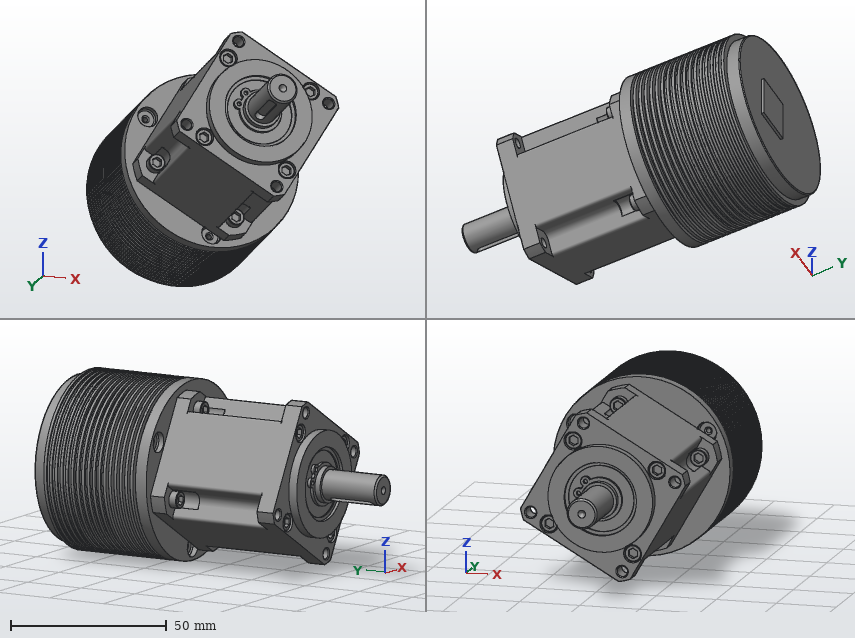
import cadquery as cq
import math


PLATE_LENGTH = 5.2
BODY_LENGTH = 34.9
FLANGE_LENGTH = 6.0
BOSS_LENGTH = 3.0
SHAFT_LENGTH = 22.0
COLLAR_LENGTH = 2.0

BODY_START = PLATE_LENGTH
FLANGE_START = BODY_START + BODY_LENGTH
FLANGE_FACE = FLANGE_START + FLANGE_LENGTH
BOSS_FACE = FLANGE_FACE + BOSS_LENGTH
COLLAR_END = BOSS_FACE + COLLAR_LENGTH
SHAFT_TIP = BOSS_FACE + SHAFT_LENGTH

SQUARE_SIDE = 42.2
SQUARE_TILT = 60
CORNER_ANGLE = 45 + SQUARE_TILT
FLANGE_CORNER_RADIUS = 28.0
PLATE_CORNER_RADIUS = 27.1
NOTCH_OFFSET = 13.0
NOTCH_INNER_FILLET = 2.8
NOTCH_EDGE_FILLET = 1.0

SCREW_HEAD_RADIUS = 2.8
SCREW_HEAD_CHAMFER = 0.2
SOCKET_FLATS = 3.0
SOCKET_DEPTH = 1.5
CLEARANCE_RADIUS = 3.1
PLATE_SCREW_CIRCLE = 21.9
PLATE_SCREW_HEAD_LENGTH = 2.8
PLATE_SCREW_CLEARANCE_LENGTH = 8.4
FLANGE_SCREW_CIRCLE = 20.5
FLANGE_SCREW_ANGLE = 28.9
FLANGE_POCKET_RADIUS = 3.0
FLANGE_SCREW_SINK = 0.5
FLANGE_POCKET_DEPTH = 3.2
MOUNTING_CIRCLE = 24.9
MOUNTING_HOLE_RADIUS = 1.7
MOUNTING_HOLE_CHAMFER = 0.3

BOSS_RADIUS = 17.5
RECESS_RADIUS = 12.0
RECESS_DEPTH = 1.0
BORE_RADIUS = 10.9
BORE_DEPTH = 1.5
COLLAR_RADIUS = 6.0
SHAFT_DIAMETER = 10.0
SHAFT_RADIUS = SHAFT_DIAMETER / 2
SHAFT_CHAMFER = 0.6
CENTRE_CONE_RADIUS = 1.3
CENTRE_CONE_DEPTH = 1.3
KEYWAY_WIDTH = 3.0
KEYWAY_LENGTH = 16.0
KEYWAY_DEPTH = 1.8
KEYWAY_TIP_GAP = 2.1
KEYWAY_ANGLE = 240

RING_RADIUS = 7.1
RING_THICKNESS = 1.0
LUG_CIRCLE = 7.5
LUG_RADIUS = 1.6
LUG_HOLE_RADIUS = 0.7
LUG_GAP_ANGLE = 150
LUG_HALF_SPREAD = 18

MOTOR_RADIUS = 29.5
DISC_LENGTH = 4.0
FIN_STACK_LENGTH = 34.1
CAP_LENGTH = 4.7
CAP_RADIUS = 27.4
CAP_CHAMFER = 0.3
GROOVE_GROUPS = [(6, 27.8), (6, 28.7), (5, 29.0)]
MOTOR_HOLE_CIRCLE = 25.0
MOTOR_HOLE_ANGLES = [30, 150, 270]
MOTOR_HOLE_RADIUS = 3.3
MOTOR_HOLE_DEPTH = 2.3
MOTOR_HOLE_CHAMFER = 0.5
PILOT_RADIUS = 0.8
PILOT_MOUTH_RADIUS = 1.3
PILOT_MOUTH_DEPTH = 0.5
PILOT_DEPTH = 4.6
PAD_WIDTH = 12.9
PAD_HEIGHT = 16.2
PAD_THICKNESS = 0.9
PAD_CENTRE = (6.3, -3.6)


def section(start):
    """Workplane across the axis, facing forward, `start` ahead of the joint."""
    return cq.Workplane("XZ", origin=(0, -start, 0))


def cylinder(radius, start, length, centre=(0, 0)):
    return section(start).center(*centre).circle(radius).extrude(length)


def cone(start_radius, end_radius, start, length, centre):
    circle = section(start).center(*centre).circle(start_radius)
    return circle.workplane(offset=length).circle(end_radius).loft()


def polar(radius, angle):
    turn = math.radians(angle)
    return (radius * math.cos(turn), radius * math.sin(turn))


def tilt_square(shape):
    """Turn from the X and Z directions to the tilt of the gearbox square."""
    return shape.rotate((0, 0, 0), (0, 1, 0), -SQUARE_TILT)


def four_places(radius, first_angle):
    return [polar(radius, first_angle + 90 * i) for i in range(4)]


def square_plate(corner_radius, start, length):
    square = tilt_square(section(start).rect(SQUARE_SIDE, SQUARE_SIDE).extrude(length))
    return square.intersect(cylinder(corner_radius, start, length))


def notched_body():
    """Square prism with a rounded notch along each corner."""
    def bar(width, height):
        prism = section(BODY_START).rect(width, height).extrude(BODY_LENGTH)
        return prism.edges("|Y").fillet(NOTCH_EDGE_FILLET)

    notch_span = 2 * NOTCH_OFFSET
    body = bar(SQUARE_SIDE, notch_span).union(bar(notch_span, SQUARE_SIDE))
    reach = NOTCH_OFFSET + NOTCH_EDGE_FILLET / 2
    inner_edges = cq.selectors.BoxSelector(
        (-reach, -FLANGE_START, -reach), (reach, 0, reach)
    )
    body = body.edges("|Y").edges(inner_edges).fillet(NOTCH_INNER_FILLET)
    return tilt_square(body)


def screw_head(start, length, centre):
    """Socket head with its hexagon flats square to X."""
    head = cylinder(SCREW_HEAD_RADIUS, start, length, centre)
    head = head.faces("<Y").edges().chamfer(SCREW_HEAD_CHAMFER)
    hexagon = section(start + length).center(*centre).polygon(6, SOCKET_FLATS, circumscribed=True)
    return head.cut(hexagon.extrude(-SOCKET_DEPTH))


def add_plate_screws(gearbox):
    for place in four_places(PLATE_SCREW_CIRCLE, CORNER_ANGLE):
        clearance = cylinder(CLEARANCE_RADIUS, BODY_START, PLATE_SCREW_CLEARANCE_LENGTH, place)
        gearbox = gearbox.cut(clearance)
        gearbox = gearbox.union(screw_head(BODY_START, PLATE_SCREW_HEAD_LENGTH, place))
    return gearbox


def add_flange_screws(gearbox):
    pocket_floor = FLANGE_FACE - FLANGE_POCKET_DEPTH
    head_length = FLANGE_POCKET_DEPTH - FLANGE_SCREW_SINK
    for place in four_places(FLANGE_SCREW_CIRCLE, FLANGE_SCREW_ANGLE):
        pocket = cylinder(FLANGE_POCKET_RADIUS, pocket_floor, FLANGE_POCKET_DEPTH, place)
        gearbox = gearbox.cut(pocket)
        gearbox = gearbox.union(screw_head(pocket_floor, head_length, place))
    return gearbox


def cut_mounting_holes(gearbox):
    for place in four_places(MOUNTING_CIRCLE, CORNER_ANGLE):
        hole = cylinder(MOUNTING_HOLE_RADIUS, FLANGE_START, FLANGE_LENGTH, place)
        mouth_radius = MOUNTING_HOLE_RADIUS + MOUNTING_HOLE_CHAMFER
        mouth = cone(mouth_radius, MOUNTING_HOLE_RADIUS, FLANGE_FACE, -MOUNTING_HOLE_CHAMFER, place)
        gearbox = gearbox.cut(hole).cut(mouth)
    return gearbox


def boss():
    """Centring boss with a stepped recess round the shaft."""
    disc = cylinder(BOSS_RADIUS, FLANGE_FACE, BOSS_LENGTH)
    recess = cylinder(RECESS_RADIUS, BOSS_FACE, -RECESS_DEPTH)
    bore = cylinder(BORE_RADIUS, BOSS_FACE, -BORE_DEPTH)
    return disc.cut(recess).cut(bore)


def retaining_ring():
    start = BOSS_FACE - RING_THICKNESS
    ring = cylinder(RING_RADIUS, start, RING_THICKNESS)
    for side in (-1, 1):
        place = polar(LUG_CIRCLE, LUG_GAP_ANGLE + side * LUG_HALF_SPREAD)
        ring = ring.union(cylinder(LUG_RADIUS, start, RING_THICKNESS, place))
        ring = ring.cut(cylinder(LUG_HOLE_RADIUS, start, RING_THICKNESS, place))
    return ring


def keyway():
    """Round-ended slot cut into the side of the shaft."""
    direction = polar(1, KEYWAY_ANGLE)
    floor = SHAFT_RADIUS - KEYWAY_DEPTH
    middle = SHAFT_TIP - KEYWAY_TIP_GAP - KEYWAY_LENGTH / 2
    plane = cq.Plane(
        origin=(floor * direction[0], -middle, floor * direction[1]),
        xDir=(0, -1, 0),
        normal=(direction[0], 0, direction[1]),
    )
    return cq.Workplane(plane).slot2D(KEYWAY_LENGTH, KEYWAY_WIDTH).extrude(SHAFT_RADIUS)


def shaft():
    collar_start = BOSS_FACE - BORE_DEPTH
    collar = cylinder(COLLAR_RADIUS, collar_start, COLLAR_END - collar_start)
    journal = cylinder(SHAFT_RADIUS, COLLAR_END, SHAFT_TIP - COLLAR_END)
    journal = journal.faces("<Y").edges().chamfer(SHAFT_CHAMFER)
    centre_cone = cq.Workplane(
        cq.Solid.makeCone(
            CENTRE_CONE_RADIUS, 0, CENTRE_CONE_DEPTH,
            pnt=cq.Vector(0, -SHAFT_TIP, 0), dir=cq.Vector(0, 1, 0),
        )
    )
    return collar.union(journal).cut(centre_cone).cut(keyway())


def make_gearbox():
    gearbox = square_plate(PLATE_CORNER_RADIUS, 0, PLATE_LENGTH)
    gearbox = gearbox.union(notched_body())
    gearbox = gearbox.union(square_plate(FLANGE_CORNER_RADIUS, FLANGE_START, FLANGE_LENGTH))
    gearbox = gearbox.union(boss())
    gearbox = add_plate_screws(gearbox)
    gearbox = add_flange_screws(gearbox)
    gearbox = cut_mounting_holes(gearbox)
    return gearbox.union(shaft()).union(retaining_ring())


def finned_case():
    """Front disc, grooved stack and back cap, turned as one profile (radius, Y)."""
    groove_count = sum(count for count, _ in GROOVE_GROUPS)
    pitch = FIN_STACK_LENGTH / groove_count
    groove_width = pitch / 2
    cap_start = DISC_LENGTH + FIN_STACK_LENGTH
    cap_end = cap_start + CAP_LENGTH

    profile = [(0, 0), (MOTOR_RADIUS, 0)]
    position = DISC_LENGTH
    for count, floor_radius in GROOVE_GROUPS:
        for _ in range(count):
            profile += [
                (MOTOR_RADIUS, position),
                (floor_radius, position),
                (floor_radius, position + groove_width),
                (MOTOR_RADIUS, position + groove_width),
            ]
            position += pitch
    profile += [
        (MOTOR_RADIUS, cap_start),
        (CAP_RADIUS, cap_start),
        (CAP_RADIUS, cap_end - CAP_CHAMFER),
        (CAP_RADIUS - CAP_CHAMFER, cap_end),
        (0, cap_end),
    ]
    return cq.Workplane("XY").polyline(profile).close().revolve(360, (0, 0), (0, 1))


def motor_hole(place):
    """Hole with a bevelled floor edge and a small countersunk pilot in its floor."""
    hole = cylinder(MOTOR_HOLE_RADIUS, 0, -MOTOR_HOLE_DEPTH, place)
    hole = hole.faces(">Y").edges().chamfer(MOTOR_HOLE_CHAMFER)
    pilot_start = -MOTOR_HOLE_DEPTH
    pilot = cylinder(PILOT_RADIUS, pilot_start, -PILOT_DEPTH, place)
    pilot_mouth = cone(PILOT_MOUTH_RADIUS, PILOT_RADIUS, pilot_start, -PILOT_MOUTH_DEPTH, place)
    return hole.union(pilot).union(pilot_mouth)


def back_pad():
    """Thin raised pad, off centre on the back of the cap."""
    back_face = -(DISC_LENGTH + FIN_STACK_LENGTH + CAP_LENGTH)
    return section(back_face).center(*PAD_CENTRE).rect(PAD_WIDTH, PAD_HEIGHT).extrude(-PAD_THICKNESS)


def make_motor():
    motor = finned_case()
    for angle in MOTOR_HOLE_ANGLES:
        motor = motor.cut(motor_hole(polar(MOTOR_HOLE_CIRCLE, angle)))
    return motor.union(back_pad())


gearbox = make_gearbox()
motor = make_motor()
result = cq.Compound.makeCompound([gearbox.val(), motor.val()])